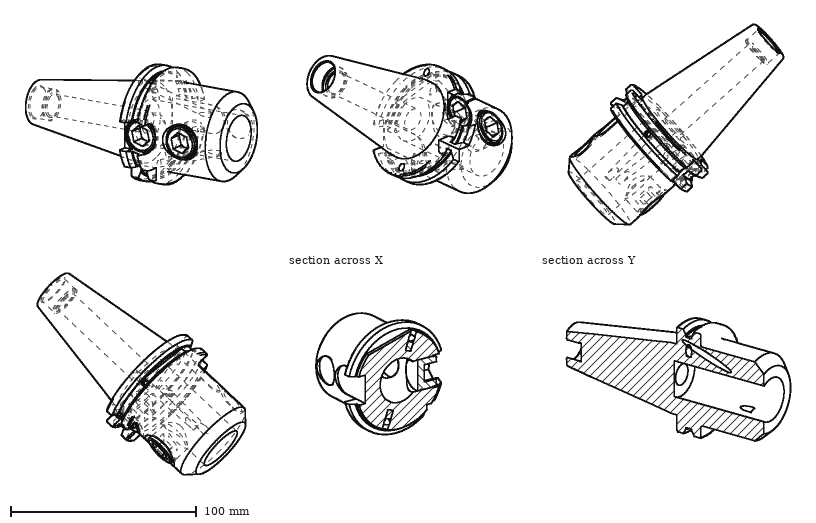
import cadquery as cq
import math


gauge_radius = 22.225
taper_length = 68.4
taper_slope = 7 / 48
tail_radius = gauge_radius - taper_length * taper_slope
tail_rounding = 1.0

flange_radius = 63.55 / 2
flange_start = 3.2
flange_end = 19.1
flange_rounding = 0.8
groove_centre = 11.1
groove_floor_radius = 28.1
groove_floor_width = 3.75
groove_side_height = 0.9
groove_side_angle = 30
groove_flare_radius = groove_floor_radius + groove_side_height
groove_flare = (flange_radius - groove_flare_radius) * math.tan(math.radians(groove_side_angle))

nose_radius = 24.5
nose_end = 60.0
nose_chamfer_length = 5.9
nose_chamfer_depth = 5.1
nose_edge_chamfer = 0.5
neck_fillet = 1.0

tool_bore_radius = 12.5
tool_bore_depth = 58.0
channel_radius = 6.0
channel_mouth_radius = 6.9
channel_mouth_length = 0.5
pilot_radius = 8.5
pilot_depth = 9.5
undercut_radius = 8.7
undercut_length = 1.0
pilot_chamfer = 0.6

drive_slot_width = 16.1
drive_slot_floor_front = 25.0
drive_slot_floor_back = 22.8
back_slot_end = 36.1
back_pocket_x = 45.1
notch_edge = 18.4

flat_distance = 24.0
flat_angle = 15
flat_width = 3.4

screw_spacing = 25.0
front_screw_x = 38.0
rear_screw_x = front_screw_x - screw_spacing
screw_radius = 9.0
screw_face = 24.6
screw_tip = 12.0
screw_chamfer_length = 0.4
screw_chamfer_depth = 1.0
recess_floor = 22.4
rear_recess_radius = 9.5
countersink_floor_radius = 9.85
countersink_angle = 30
countersink_height = nose_radius - recess_floor
countersink_radius = countersink_floor_radius + countersink_height * math.tan(math.radians(countersink_angle))
hex_across_flats = 10.0
hex_depth = 8.0
hex_turn = 13

duct_radius = 1.95
duct_circle_radius = 27.0
duct_roll_angles = [20, 200]
duct_tilt = 20
duct_length = (duct_circle_radius - tool_bore_radius) / math.sin(math.radians(duct_tilt)) + duct_radius
plug_radius = 1.65
plug_seat = 17.0
plug_length = 5.0


def revolved(points):
    """Revolve a closed (x, radius) outline around the X axis."""
    return cq.Workplane("XZ").polyline(points).close().revolve(360, (0, 0, 0), (1, 0, 0))


def rolled(shape, angle):
    """Turn a shape around the part's axis."""
    return shape.rotate((0, 0, 0), (1, 0, 0), angle)


def radial_cylinder(x, radius, inner, outer):
    """Cylinder along Z at the given X, between two distances from the part's axis."""
    return cq.Workplane("XY", origin=(x, 0, inner)).circle(radius).extrude(outer - inner)


def screw_cylinder(x, radius, inner, outer):
    """Cylinder along -Y at the given X, between two distances from the part's axis."""
    return cq.Workplane("XZ", origin=(x, -inner, 0)).circle(radius).extrude(outer - inner)


def make_shank():
    shank = revolved([
        (-taper_length, 0),
        (-taper_length, tail_radius),
        (0, gauge_radius),
        (flange_start, gauge_radius),
        (flange_start, 0),
    ])
    return shank.faces("<X").edges().fillet(tail_rounding)


def make_flange():
    half_floor = groove_floor_width / 2
    half_opening = half_floor + groove_flare
    flange = revolved([
        (flange_start, 0),
        (flange_start, flange_radius),
        (groove_centre - half_opening, flange_radius),
        (groove_centre - half_floor, groove_flare_radius),
        (groove_centre - half_floor, groove_floor_radius),
        (groove_centre + half_floor, groove_floor_radius),
        (groove_centre + half_floor, groove_flare_radius),
        (groove_centre + half_opening, flange_radius),
        (flange_end, flange_radius),
        (flange_end, 0),
    ])
    return flange.faces("<X or >X").edges().fillet(flange_rounding)


def make_nose():
    chamfer_end_radius = nose_radius - nose_chamfer_depth
    return revolved([
        (groove_centre, 0),
        (groove_centre, nose_radius),
        (nose_end - nose_chamfer_length, nose_radius),
        (nose_end - nose_edge_chamfer, chamfer_end_radius),
        (nose_end, chamfer_end_radius - nose_edge_chamfer),
        (nose_end, 0),
    ])


def make_neck_fillet():
    return (
        cq.Workplane("XZ")
        .moveTo(flange_end, nose_radius - neck_fillet)
        .lineTo(flange_end, nose_radius + neck_fillet)
        .radiusArc((flange_end + neck_fillet, nose_radius), -neck_fillet)
        .lineTo(flange_end + neck_fillet, nose_radius - neck_fillet)
        .close()
        .revolve(360, (0, 0, 0), (1, 0, 0))
    )


def make_axial_bore():
    tail = -taper_length
    pilot_floor = tail + pilot_depth
    bore_floor = nose_end - tool_bore_depth
    return revolved([
        (tail, 0),
        (tail, pilot_radius + pilot_chamfer),
        (tail + pilot_chamfer, pilot_radius),
        (pilot_floor - undercut_length, pilot_radius),
        (pilot_floor - undercut_length, undercut_radius),
        (pilot_floor, undercut_radius),
        (pilot_floor, channel_mouth_radius),
        (pilot_floor + channel_mouth_length, channel_radius),
        (bore_floor, channel_radius),
        (bore_floor, tool_bore_radius),
        (nose_end, tool_bore_radius),
        (nose_end, 0),
    ])


def make_front_drive_slot():
    """Straight slot through the flange on the -Y side."""
    return (
        cq.Workplane("XZ", origin=(flange_start, -drive_slot_floor_front, 0))
        .rect(flange_end - flange_start, drive_slot_width, centered=(False, True))
        .extrude(flange_radius)
    )


def make_back_drive_slot():
    """Slot on the +Y side that runs out into the nose with a round end."""
    half_width = drive_slot_width / 2
    straight_end = back_slot_end - half_width
    return (
        cq.Workplane("XZ", origin=(0, drive_slot_floor_back, 0))
        .moveTo(flange_start, -half_width)
        .lineTo(straight_end, -half_width)
        .threePointArc((back_slot_end, 0), (straight_end, half_width))
        .lineTo(flange_start, half_width)
        .close()
        .extrude(-flange_radius)
    )


def make_back_pocket():
    """Round pocket in line with the back drive slot, as wide and as deep as the slot."""
    return (
        cq.Workplane("XZ", origin=(back_pocket_x, drive_slot_floor_back, 0))
        .circle(drive_slot_width / 2)
        .extrude(-flange_radius)
    )


def make_orientation_notch():
    return (
        cq.Workplane("YZ", origin=(flange_start, 0, 0))
        .rect(-flange_radius, -flange_radius, centered=False)
        .extrude(flange_end - flange_start)
        .translate((0, -notch_edge, -notch_edge))
    )


def make_groove_flat():
    flat_centre = groove_centre + (groove_floor_width - flat_width) / 2
    flat = (
        cq.Workplane("XY", origin=(flat_centre, 0, flat_distance))
        .rect(flat_width, 2 * flange_radius)
        .extrude(flange_radius)
    )
    return rolled(flat, -flat_angle)


def make_rear_screw_hole():
    thread = screw_cylinder(rear_screw_x, screw_radius, 0, flange_radius)
    recess = screw_cylinder(rear_screw_x, rear_recess_radius, recess_floor, flange_radius)
    return thread.union(recess)


def make_front_screw_hole():
    thread = screw_cylinder(front_screw_x, screw_radius, 0, nose_radius)
    countersink = (
        cq.Workplane("XZ", origin=(front_screw_x, -recess_floor, 0))
        .circle(countersink_floor_radius)
        .workplane(offset=countersink_height)
        .circle(countersink_radius)
        .loft()
    )
    return thread.union(countersink)


def make_duct(angle):
    direction = cq.Vector(
        math.cos(math.radians(duct_tilt)), 0, -math.sin(math.radians(duct_tilt))
    )
    entry = cq.Vector(flange_start, 0, duct_circle_radius)
    lead_in = 2 * duct_radius
    start = entry - direction * lead_in
    duct = cq.Solid.makeCylinder(duct_radius, lead_in + duct_length, start, direction)
    return rolled(cq.Workplane(duct), angle)


def make_plug_hole(angle):
    return rolled(radial_cylinder(groove_centre, plug_radius, plug_seat, flange_radius), angle)


def make_holder():
    holder = make_shank().union(make_flange()).union(make_nose()).union(make_neck_fillet())
    holder = holder.cut(make_front_drive_slot()).cut(make_back_drive_slot())
    holder = holder.cut(make_back_pocket()).cut(make_orientation_notch()).cut(make_groove_flat())
    holder = holder.cut(make_axial_bore())
    holder = holder.cut(make_rear_screw_hole()).cut(make_front_screw_hole())
    for angle in duct_roll_angles:
        holder = holder.cut(make_duct(angle)).cut(make_plug_hole(angle))
    return holder


def make_clamping_screw(x):
    screw = screw_cylinder(x, screw_radius, screw_tip, screw_face)
    screw = screw.faces("<Y").chamfer(screw_chamfer_length, screw_chamfer_depth)
    hex_socket = (
        cq.Workplane("XZ", origin=(x, hex_depth - screw_face, 0))
        .transformed(rotate=(0, 0, hex_turn))
        .polygon(6, hex_across_flats, circumscribed=True)
        .extrude(hex_depth)
    )
    return screw.cut(hex_socket)


def make_shutoff_plug(angle):
    return rolled(radial_cylinder(groove_centre, plug_radius, plug_seat, plug_seat + plug_length), angle)


holder = make_holder()
clamping_screws = [make_clamping_screw(x) for x in (rear_screw_x, front_screw_x)]
shutoff_plugs = [make_shutoff_plug(angle) for angle in duct_roll_angles]

result = cq.Compound.makeCompound(
    [holder.val()] + [body.val() for body in clamping_screws + shutoff_plugs]
)